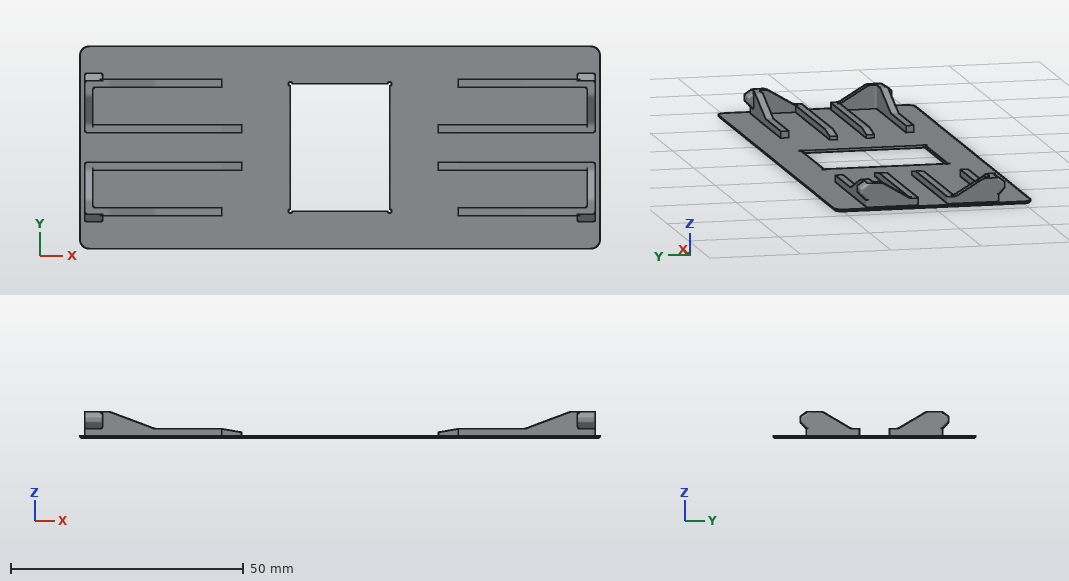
import cadquery as cq

PLATE_LENGTH = 112.0
PLATE_WIDTH = 43.6
PLATE_THICKNESS = 0.6
PLATE_CORNER_RADIUS = 2.0
PLATE_BOTTOM_CHAMFER = 0.4

WINDOW_LENGTH = 21.4
WINDOW_WIDTH = 27.4
WINDOW_RELIEF_RADIUS = 0.4

TOTAL_HEIGHT = 5.8
RIB_HEIGHT = 1.5
RIB_TOP = PLATE_THICKNESS + RIB_HEIGHT

WALL_SETBACK = 1.0
WALL_OUTER_X = PLATE_LENGTH / 2 - WALL_SETBACK
WALL_THICKNESS = 1.8
WALL_INNER_X = WALL_OUTER_X - WALL_THICKNESS
RIB_WIDTH = 1.7
OUTER_RIB_OUTER_Y = 14.7
OUTER_RIB_INNER_Y = OUTER_RIB_OUTER_Y - RIB_WIDTH
OUTER_RIB_END_X = 25.5
OUTER_SLOPE_TOP_X = 49.7
OUTER_SLOPE_FOOT_X = 39.8
INNER_RIB_INNER_Y = 3.2
INNER_RIB_OUTER_Y = INNER_RIB_INNER_Y + RIB_WIDTH
INNER_RIB_END_X = 21.2
INNER_RIB_TIP_LENGTH = 4.3
INNER_RIB_TIP_HEIGHT = 0.75
INNER_RIB_TIP_Z = PLATE_THICKNESS + INNER_RIB_TIP_HEIGHT
WALL_SLOPE_TOP_Y = 11.2
WALL_SLOPE_FOOT_Y = 5.0
BEND_RADIUS = 2.0
OUTER_CORNER_RADIUS = 0.6
INNER_CORNER_RADIUS = 0.6

HOOK_LENGTH = 3.9
HOOK_END_X = WALL_OUTER_X - HOOK_LENGTH
HOOK_OUTER_Y = 16.0
HOOK_TOP_START_Y = 14.4
HOOK_FACE_TOP_Z = 4.75
HOOK_FACE_BOTTOM_Z = 3.5
HOOK_EDGE_RADIUS = 0.6
HOOK_END_RADIUS = 0.5

SELECTION_MARGIN = 0.05


def base_plate():
    """Rounded plate, bevelled around its underside, with the central window."""
    plate = (
        cq.Workplane("XY")
        .rect(PLATE_LENGTH, PLATE_WIDTH)
        .extrude(PLATE_THICKNESS)
        .edges("|Z")
        .fillet(PLATE_CORNER_RADIUS)
        .faces("<Z")
        .chamfer(PLATE_BOTTOM_CHAMFER)
    )
    window = cq.Workplane("XY").rect(WINDOW_LENGTH, WINDOW_WIDTH).extrude(PLATE_THICKNESS)
    relief = (
        cq.Workplane("XY")
        .rect(WINDOW_LENGTH, WINDOW_WIDTH, forConstruction=True)
        .vertices()
        .circle(WINDOW_RELIEF_RADIUS)
        .extrude(PLATE_THICKNESS)
    )
    return plate.cut(window).cut(relief)


def outer_rib():
    """Tall at the end wall, sloping down to a low rail."""
    rib = (
        cq.Workplane("XZ", origin=(0, OUTER_RIB_OUTER_Y, 0))
        .moveTo(WALL_OUTER_X, 0)
        .lineTo(WALL_OUTER_X, TOTAL_HEIGHT)
        .lineTo(OUTER_SLOPE_TOP_X, TOTAL_HEIGHT)
        .lineTo(OUTER_SLOPE_FOOT_X, RIB_TOP)
        .lineTo(OUTER_RIB_END_X, RIB_TOP)
        .lineTo(OUTER_RIB_END_X, 0)
        .close()
        .extrude(RIB_WIDTH)
    )
    mid_y = OUTER_RIB_OUTER_Y - RIB_WIDTH / 2
    for bend in ((OUTER_SLOPE_TOP_X, mid_y, TOTAL_HEIGHT), (OUTER_SLOPE_FOOT_X, mid_y, RIB_TOP)):
        rib = rib.edges(cq.NearestToPointSelector(bend)).fillet(BEND_RADIUS)
    return rib


def inner_rib():
    """Low rail whose free end tapers down."""
    return (
        cq.Workplane("XZ", origin=(0, INNER_RIB_OUTER_Y, 0))
        .moveTo(WALL_OUTER_X, 0)
        .lineTo(WALL_OUTER_X, RIB_TOP)
        .lineTo(INNER_RIB_END_X + INNER_RIB_TIP_LENGTH, RIB_TOP)
        .lineTo(INNER_RIB_END_X, INNER_RIB_TIP_Z)
        .lineTo(INNER_RIB_END_X, 0)
        .close()
        .extrude(RIB_WIDTH)
    )


def end_wall():
    """Wall joining both ribs, sloping from full height down to the inner rib."""
    wall = (
        cq.Workplane("YZ", origin=(WALL_INNER_X, 0, 0))
        .moveTo(OUTER_RIB_OUTER_Y, 0)
        .lineTo(OUTER_RIB_OUTER_Y, TOTAL_HEIGHT)
        .lineTo(WALL_SLOPE_TOP_Y, TOTAL_HEIGHT)
        .lineTo(WALL_SLOPE_FOOT_Y, RIB_TOP)
        .lineTo(INNER_RIB_INNER_Y, RIB_TOP)
        .lineTo(INNER_RIB_INNER_Y, 0)
        .close()
        .extrude(WALL_THICKNESS)
    )
    mid_x = WALL_OUTER_X - WALL_THICKNESS / 2
    for bend in ((mid_x, WALL_SLOPE_TOP_Y, TOTAL_HEIGHT), (mid_x, WALL_SLOPE_FOOT_Y, RIB_TOP)):
        wall = wall.edges(cq.NearestToPointSelector(bend)).fillet(BEND_RADIUS)
    return wall


def hook():
    """Lip with bevelled top and underside, reaching outward past the outer rib."""
    lip = (
        cq.Workplane("YZ", origin=(HOOK_END_X, 0, 0))
        .moveTo(OUTER_RIB_INNER_Y, TOTAL_HEIGHT)
        .lineTo(HOOK_TOP_START_Y, TOTAL_HEIGHT)
        .lineTo(HOOK_OUTER_Y, HOOK_FACE_TOP_Z)
        .lineTo(HOOK_OUTER_Y, HOOK_FACE_BOTTOM_Z)
        .lineTo(OUTER_RIB_OUTER_Y, RIB_TOP)
        .lineTo(OUTER_RIB_INNER_Y, RIB_TOP)
        .close()
        .extrude(HOOK_LENGTH)
    )
    return lip.faces(">Y").edges("|X").fillet(HOOK_EDGE_RADIUS)


def hook_bevel_cut():
    """Corner of the outer rib that lies above the bevelled top of the hook."""
    return (
        cq.Workplane("YZ", origin=(HOOK_END_X, 0, 0))
        .moveTo(HOOK_TOP_START_Y, TOTAL_HEIGHT)
        .lineTo(HOOK_OUTER_Y, TOTAL_HEIGHT)
        .lineTo(HOOK_OUTER_Y, HOOK_FACE_TOP_Z)
        .close()
        .extrude(HOOK_LENGTH)
    )


def edges_near(x, y_low):
    """Selects edges lying at one X whose centres are beyond a given Y."""
    return cq.selectors.BoxSelector(
        (x - SELECTION_MARGIN, y_low, 0),
        (x + SELECTION_MARGIN, HOOK_OUTER_Y + SELECTION_MARGIN, TOTAL_HEIGHT),
    )


def corner_bracket():
    """Ribs, end wall and hook of the +X +Y corner, with rounded corners."""
    bracket = outer_rib().union(inner_rib()).union(end_wall()).cut(hook_bevel_cut()).union(hook())
    inside_corner = cq.NearestToPointSelector((WALL_INNER_X, OUTER_RIB_INNER_Y, RIB_TOP))
    bracket = bracket.edges(inside_corner).fillet(INNER_CORNER_RADIUS)
    inner_rib_corner = cq.NearestToPointSelector((WALL_OUTER_X, INNER_RIB_INNER_Y, RIB_TOP / 2))
    bracket = bracket.edges(inner_rib_corner).fillet(OUTER_CORNER_RADIUS)
    hook_wall_end = edges_near(WALL_OUTER_X, HOOK_TOP_START_Y)
    bracket = bracket.edges(hook_wall_end).fillet(OUTER_CORNER_RADIUS)
    hook_free_end = edges_near(HOOK_END_X, OUTER_RIB_OUTER_Y + SELECTION_MARGIN)
    return bracket.edges(hook_free_end).fillet(HOOK_END_RADIUS)


bracket = corner_bracket()
bracket_pair = bracket.union(bracket.mirror("XZ"))
result = base_plate().union(bracket_pair).union(bracket_pair.mirror("YZ"))